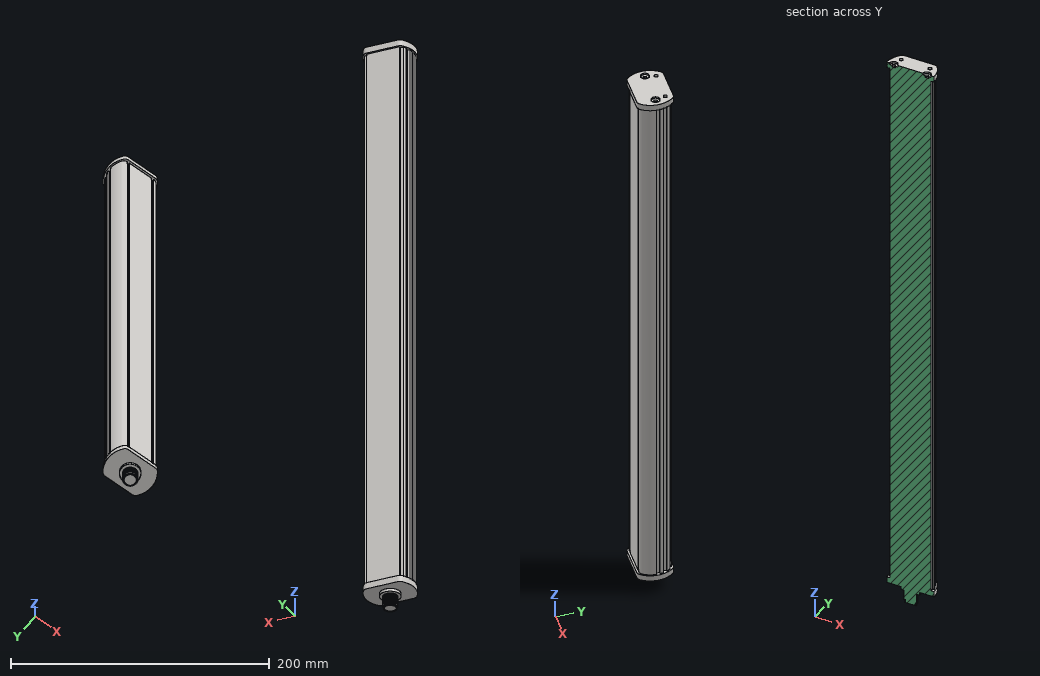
import cadquery as cq
import math

total_height = 493.0
cap_width = 42.5
cap_depth = 29.5
cap_height = 5.5

cap_flat_half_width = 13.5
cap_shoulder_mid_x = 15.5
cap_shoulder_mid_y = 14.5
cap_edge_y = 13.0

body_width = 40.0
body_depth = 26.0
body_corner_radius = 4.5

window_groove_x = 12.0
window_groove_width = 2.0
window_groove_depth = 1.5

cooling_groove_count = 3
cooling_groove_pitch = 6.0
cooling_groove_width = 3.0
cooling_groove_depth = 1.5
first_cooling_groove_y = 0.75

screw_x = 15.0
screw_head_diameter = 7.0
screw_recess_depth = 1.5
screw_socket_diameter = 3.0
screw_socket_depth = 3.0
pin_hole_x = 13.0
pin_hole_y = 8.5
pin_hole_diameter = 3.0
pin_hole_depth = 2.5

connector_height = 13.5
flange_diameter = 17.0
flange_height = 2.5
thread_diameter = 12.5
ridge_depth = 0.5
thread_ridge_count = 6
tip_diameter = 10.5
tip_height = 2.5
tip_ridge_count = 2

bottom_cap_z = connector_height
body_z = bottom_cap_z + cap_height
top_cap_z = total_height - cap_height
body_height = top_cap_z - body_z


def disc(diameter, height, z):
    return cq.Workplane("XY").workplane(offset=z).circle(diameter / 2).extrude(height)


def upright_box(width, depth, x, y):
    """Box running the full height of the housing."""
    return (
        cq.Workplane("XY")
        .box(width, depth, body_height, centered=(True, True, False))
        .translate((x, y, body_z))
    )


def make_body():
    cylinder = disc(body_width, body_height, body_z)
    slab = upright_box(body_width, body_depth, 0, 0)
    body = cylinder.intersect(slab).edges("|Z").edges(">Y or <Y").fillet(body_corner_radius)
    for side in (-1, 1):
        body = body.cut(
            upright_box(
                window_groove_width,
                2 * window_groove_depth,
                side * window_groove_x,
                -body_depth / 2,
            )
        )
        for index in range(cooling_groove_count):
            groove_y = first_cooling_groove_y + index * cooling_groove_pitch
            flank_x = math.sqrt((body_width / 2) ** 2 - groove_y**2)
            body = body.cut(
                upright_box(2 * cooling_groove_depth, cooling_groove_width, side * flank_x, groove_y)
            )
    return body


def make_cap(z):
    half_depth = cap_depth / 2
    edge_x = math.sqrt((cap_width / 2) ** 2 - cap_edge_y**2)
    return (
        cq.Workplane("XY")
        .workplane(offset=z)
        .moveTo(-cap_flat_half_width, half_depth)
        .lineTo(cap_flat_half_width, half_depth)
        .threePointArc((cap_shoulder_mid_x, cap_shoulder_mid_y), (edge_x, cap_edge_y))
        .threePointArc((cap_width / 2, 0), (edge_x, -cap_edge_y))
        .threePointArc((cap_shoulder_mid_x, -cap_shoulder_mid_y), (cap_flat_half_width, -half_depth))
        .lineTo(-cap_flat_half_width, -half_depth)
        .threePointArc((-cap_shoulder_mid_x, -cap_shoulder_mid_y), (-edge_x, -cap_edge_y))
        .threePointArc((-cap_width / 2, 0), (-edge_x, cap_edge_y))
        .threePointArc((-cap_shoulder_mid_x, cap_shoulder_mid_y), (-cap_flat_half_width, half_depth))
        .close()
        .extrude(cap_height)
    )


def ridged_cylinder(diameter, height, ridge_count, z):
    """Cylinder ringed by evenly spaced square ridges."""
    pitch = height / ridge_count
    cylinder = disc(diameter - 2 * ridge_depth, height, z)
    for index in range(ridge_count):
        cylinder = cylinder.union(disc(diameter, pitch / 2, z + index * pitch))
    return cylinder


def make_connector():
    flange_z = bottom_cap_z - flange_height
    tip = ridged_cylinder(tip_diameter, tip_height, tip_ridge_count, 0)
    thread = ridged_cylinder(thread_diameter, flange_z - tip_height, thread_ridge_count, tip_height)
    return tip.union(thread).union(disc(flange_diameter, flange_height, flange_z))


def cap_hole(diameter, depth, x, y):
    return disc(diameter, depth, total_height - depth).translate((x, y, 0))


result = make_body().union(make_cap(bottom_cap_z)).union(make_cap(top_cap_z)).union(make_connector())
for side in (-1, 1):
    result = result.cut(cap_hole(screw_head_diameter, screw_recess_depth, side * screw_x, 0))
    result = result.cut(cap_hole(screw_socket_diameter, screw_socket_depth, side * screw_x, 0))
    result = result.cut(cap_hole(pin_hole_diameter, pin_hole_depth, side * pin_hole_x, pin_hole_y))